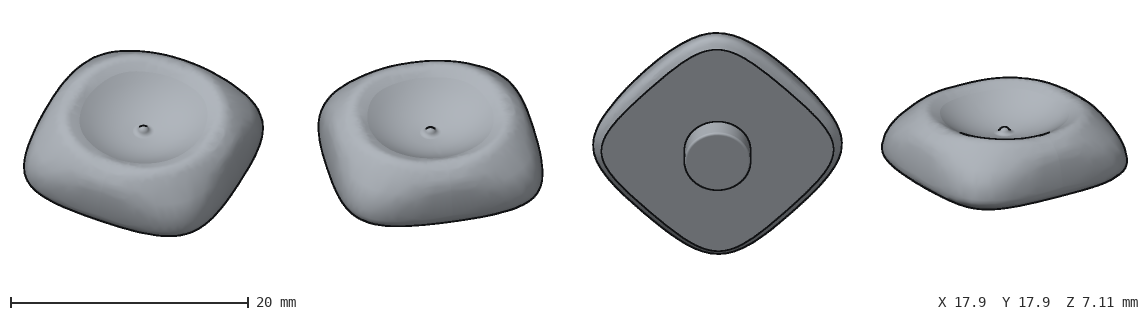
import cadquery as cq
import math

stem_radius = 2.8
stem_height = 2.0
stem_edge_fillet = 0.2

dish_radius = 9.41
dish_bottom = 2.92

nub_radius = 0.5
nub_blend_radius = 0.5

UNDERSIDE = (8.25, 0, 9.77, 0)
LOWER_ROUND = (8.73, 0.3, 10.24, 0.4)
WIDEST = (8.96, 1.04, 10.47, 1.22)
SIDE = (8.79, 2.25, 10.08, 2.33)
SHOULDER = (8.37, 3.5, 9.07, 3.55)
RIM_OUTSIDE = (7.71, 4.34, 7.53, 4.73)
RIM_TOP = (6.56, 4.9, 6.56, 5.1)
DISH_EDGE = (5.24, 4.52, 5.49, 4.68)
DISH_COVER = (4.66, 4.52, 4.75, 4.55)
INNER_END = (3.95, 4.54, 3.95, 4.54)
SKIN_RINGS = [
    UNDERSIDE,
    LOWER_ROUND,
    WIDEST,
    SIDE,
    SHOULDER,
    RIM_OUTSIDE,
    RIM_TOP,
    DISH_EDGE,
    DISH_COVER,
    INNER_END,
]


def skin_ring(axis_reach, axis_height, diagonal_reach, diagonal_height):
    """Closed ring of four quartic Bezier curves joined smoothly on the X and Y axes."""
    diagonal_xy = diagonal_reach / math.sqrt(2)
    control_xy = (8 * diagonal_xy - 4 * axis_reach) / 3
    near_axis_xy = 0.75 * control_xy
    middle_xy = (axis_reach + control_xy) / 2
    middle_height = (16 * diagonal_height - 10 * axis_height) / 6
    quarter = cq.Edge.makeBezier([
        cq.Vector(axis_reach, 0, axis_height),
        cq.Vector(axis_reach, near_axis_xy, axis_height),
        cq.Vector(middle_xy, middle_xy, middle_height),
        cq.Vector(near_axis_xy, axis_reach, axis_height),
        cq.Vector(0, axis_reach, axis_height),
    ])
    origin = cq.Vector(0, 0, 0)
    z_axis = cq.Vector(0, 0, 1)
    return cq.Wire.assembleEdges([quarter.rotate(origin, z_axis, 90 * turn) for turn in range(4)])


def make_cap():
    """Rounded-square cushion with the spherical dish cut into its top."""
    cushion = cq.occ_impl.shapes.loft(
        [skin_ring(*ring) for ring in SKIN_RINGS], cap=True, parametrization="uniform"
    )
    dish = cq.Workplane("XY").sphere(dish_radius).translate((0, 0, dish_bottom + dish_radius))
    return cq.Workplane(cushion).cut(dish)


def make_stem():
    """Round post with a filleted bottom edge."""
    stem = cq.Workplane("XY").circle(stem_radius).extrude(-stem_height)
    return stem.faces("<Z").edges().fillet(stem_edge_fillet)


def make_nub():
    """Ball centred on the dish bottom with a concave blend tangent to ball and dish."""
    ball_to_blend = nub_radius + nub_blend_radius
    dish_to_blend = dish_radius - nub_blend_radius
    blend_rise = (ball_to_blend**2 + dish_radius**2 - dish_to_blend**2) / (2 * dish_radius)
    blend_offset = math.sqrt(ball_to_blend**2 - blend_rise**2)

    ball_share = nub_radius / ball_to_blend
    ball_tangent = (blend_offset * ball_share, dish_bottom + blend_rise * ball_share)
    dish_share = dish_radius / dish_to_blend
    dish_tangent = (
        blend_offset * dish_share,
        dish_bottom + dish_radius - (dish_radius - blend_rise) * dish_share,
    )
    ball_angle = math.atan2(blend_rise, blend_offset)
    ball_middle_angle = (ball_angle + math.pi / 2) / 2
    ball_middle = (
        nub_radius * math.cos(ball_middle_angle),
        dish_bottom + nub_radius * math.sin(ball_middle_angle),
    )
    dish_angle = math.atan2(blend_rise - dish_radius, blend_offset)
    blend_middle_angle = (ball_angle - math.pi + dish_angle) / 2
    blend_middle = (
        blend_offset + nub_blend_radius * math.cos(blend_middle_angle),
        dish_bottom + blend_rise + nub_blend_radius * math.sin(blend_middle_angle),
    )
    root = dish_bottom - nub_radius
    return (
        cq.Workplane("XZ")
        .moveTo(0, root)
        .lineTo(dish_tangent[0], root)
        .lineTo(*dish_tangent)
        .threePointArc(blend_middle, ball_tangent)
        .threePointArc(ball_middle, (0, dish_bottom + nub_radius))
        .close()
        .revolve(360, (0, 0, 0), (0, 1, 0))
    )


result = make_cap().union(make_stem()).union(make_nub())